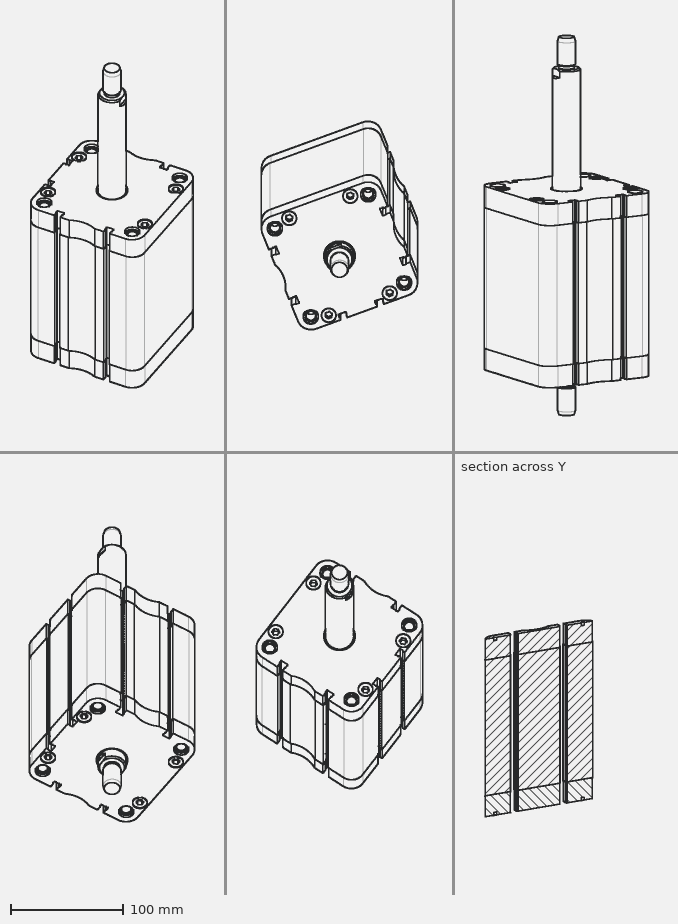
import cadquery as cq
import math


TOTAL_LENGTH = 343.0

HOUSING_SIDE = 113.5
HOUSING_HEIGHT = 167.0
CAP_HEIGHT = 19.5
CAP_CORNER_RADIUS = 12.7
BARREL_CORNER_RADIUS = 12.0
CAP_SCOOP_WIDTH = 25.7
BARREL_SCOOP_WIDTH = 27.0
SCOOP_DEPTH = 3.0

Y_SLOT_OFFSET = 25.0
Y_SLOT_NECK_DEPTH = 4.0
Y_SLOT_DEPTH = 7.2

X_SLOT_OFFSET = 17.5
X_SLOT_NECK_DEPTH = 2.5
X_SLOT_DEPTH = 5.5

CAP_SLOT_MOUTH = 6.2
BARREL_SLOT_MOUTH = 5.0
SLOT_WIDTH = 7.2

MOUNT_OFFSET = 44.5
MOUNT_BORE_DIAMETER = 13.5
MOUNT_BORE_DEPTH = 2.7
MOUNT_THREAD_DIAMETER = 10.0
MOUNT_CORE_DIAMETER = 8.5

SOCKET_X = 49.0
SOCKET_Y = 29.0
SOCKET_RECESS_DIAMETER = 13.0
SOCKET_RECESS_DEPTH = 1.0
SOCKET_ACROSS_FLATS = 6.0
SOCKET_DEPTH = 5.0

ROD_DIAMETER = 25.0
ROD_CHAMFER = 1.5
BUSHING_DIAMETER = 28.0
BUSHING_MOUTH_DIAMETER = 26.8
LOWER_ROD_LENGTH = 38.0
STUD_LENGTH = 28.0
STUD_DIAMETER = 16.0
STUD_TIP_DIAMETER = 14.0
STUD_TIP_CHAMFER_LENGTH = 3.8
RELIEF_DIAMETER = 14.0
RELIEF_LENGTH = 2.5
FLAT_SPACING = 22.0
FLAT_LENGTH = 7.0

BARREL_HEIGHT = HOUSING_HEIGHT - 2 * CAP_HEIGHT
ROD_RADIUS = ROD_DIAMETER / 2
ROD_BOTTOM = -LOWER_ROD_LENGTH
ROD_TOP = ROD_BOTTOM + TOTAL_LENGTH


def scoop_cutter(width, height):
    """Shallow round hollow along the middle of the -Y face."""
    face = -HOUSING_SIDE / 2
    radius = ((width / 2) ** 2 + SCOOP_DEPTH**2) / (2 * SCOOP_DEPTH)
    return cq.Workplane("XY").center(0, face + SCOOP_DEPTH - radius).circle(radius).extrude(height)


def t_slot_cutter(mouth, neck_depth, depth, offset, height):
    """T-slot along Z in the -Y face, at the given X."""
    face = -HOUSING_SIDE / 2
    neck = cq.Workplane("XY").box(mouth, depth, height, centered=(True, False, False))
    foot = (
        cq.Workplane("XY")
        .box(SLOT_WIDTH, depth - neck_depth, height, centered=(True, False, False))
        .translate((0, neck_depth, 0))
    )
    return neck.union(foot).translate((offset, face, 0))


def housing_section(height, corner_radius, scoop_width, slot_mouth):
    """Length of the housing profile, standing on Z = 0."""
    section = cq.Workplane("XY").rect(HOUSING_SIDE, HOUSING_SIDE).extrude(height)
    section = section.edges("|Z").fillet(corner_radius)

    front_cut = scoop_cutter(scoop_width, height)
    for side in (-1, 1):
        front_cut = front_cut.union(
            t_slot_cutter(slot_mouth, Y_SLOT_NECK_DEPTH, Y_SLOT_DEPTH, side * Y_SLOT_OFFSET, height)
        )
        slot = t_slot_cutter(slot_mouth, X_SLOT_NECK_DEPTH, X_SLOT_DEPTH, side * X_SLOT_OFFSET, height)
        section = section.cut(slot.rotate((0, 0, 0), (0, 0, 1), -90))
    return section.cut(front_cut).cut(front_cut.mirror("XZ"))


def mount_hole_cutter():
    """Counterbored hole with a chamfered core, its mouth at Z = 0 and running down through a cap."""
    chamfer = (MOUNT_THREAD_DIAMETER - MOUNT_CORE_DIAMETER) / 2
    profile = [
        (0, 0),
        (MOUNT_BORE_DIAMETER / 2, 0),
        (MOUNT_BORE_DIAMETER / 2, -MOUNT_BORE_DEPTH),
        (MOUNT_THREAD_DIAMETER / 2, -MOUNT_BORE_DEPTH),
        (MOUNT_CORE_DIAMETER / 2, -MOUNT_BORE_DEPTH - chamfer),
        (MOUNT_CORE_DIAMETER / 2, -CAP_HEIGHT),
        (0, -CAP_HEIGHT),
    ]
    return cq.Workplane("XZ").polyline(profile).close().revolve(360, (0, 0, 0), (0, 1, 0))


def socket_cutter():
    """Shallow round recess with a hexagon socket in its floor, two of its corners along Y."""
    corner_diameter = SOCKET_ACROSS_FLATS / math.cos(math.pi / 6)
    recess = cq.Workplane("XY").circle(SOCKET_RECESS_DIAMETER / 2).extrude(-SOCKET_RECESS_DEPTH)
    hexagon = cq.Workplane("XY").polygon(6, corner_diameter).extrude(-SOCKET_RECESS_DEPTH - SOCKET_DEPTH)
    return recess.union(hexagon.rotate((0, 0, 0), (0, 0, 1), 30))


def end_cap():
    """Upper cap, standing on Z = 0 with its outer face up."""
    cap = housing_section(CAP_HEIGHT, CAP_CORNER_RADIUS, CAP_SCOOP_WIDTH, CAP_SLOT_MOUTH)
    cap = cap.cut(cq.Workplane("XY").circle(BUSHING_DIAMETER / 2).extrude(CAP_HEIGHT))
    for x_side in (-1, 1):
        for y_side in (-1, 1):
            mount_place = (x_side * MOUNT_OFFSET, y_side * MOUNT_OFFSET, CAP_HEIGHT)
            socket_place = (x_side * SOCKET_X, y_side * SOCKET_Y, CAP_HEIGHT)
            cap = cap.cut(mount_hole_cutter().translate(mount_place))
            cap = cap.cut(socket_cutter().translate(socket_place))
    return cap


def bushing():
    """Upper bushing: a ring around the rod, standing on Z = 0, with a chamfered bore mouth on top."""
    chamfer = (BUSHING_MOUTH_DIAMETER - ROD_DIAMETER) / 2
    profile = [
        (ROD_RADIUS, 0),
        (BUSHING_DIAMETER / 2, 0),
        (BUSHING_DIAMETER / 2, CAP_HEIGHT),
        (BUSHING_MOUTH_DIAMETER / 2, CAP_HEIGHT),
        (ROD_RADIUS, CAP_HEIGHT - chamfer),
    ]
    return cq.Workplane("XZ").polyline(profile).close().revolve(360, (0, 0, 0), (0, 1, 0))


def barrel():
    """Middle length of the housing, standing on Z = 0, with a hole for the rod."""
    body = housing_section(BARREL_HEIGHT, BARREL_CORNER_RADIUS, BARREL_SCOOP_WIDTH, BARREL_SLOT_MOUTH)
    return body.cut(cq.Workplane("XY").circle(ROD_RADIUS).extrude(BARREL_HEIGHT))


def upper_rod_half():
    """Half of the rod, from its middle at Z = 0 up to the tip of its stud."""
    tip = TOTAL_LENGTH / 2
    shoulder = tip - STUD_LENGTH
    relief_top = shoulder + RELIEF_LENGTH
    stud_chamfer = (STUD_DIAMETER - RELIEF_DIAMETER) / 2
    profile = [
        (0, 0),
        (ROD_RADIUS, 0),
        (ROD_RADIUS, shoulder - ROD_CHAMFER),
        (ROD_RADIUS - ROD_CHAMFER, shoulder),
        (RELIEF_DIAMETER / 2, shoulder),
        (RELIEF_DIAMETER / 2, relief_top),
        (STUD_DIAMETER / 2, relief_top + stud_chamfer),
        (STUD_DIAMETER / 2, tip - STUD_TIP_CHAMFER_LENGTH),
        (STUD_TIP_DIAMETER / 2, tip),
        (0, tip),
    ]
    half = cq.Workplane("XZ").polyline(profile).close().revolve(360, (0, 0, 0), (0, 1, 0))

    flat_bottom = shoulder - FLAT_LENGTH
    runout = ROD_RADIUS - FLAT_SPACING / 2
    flat_outline = [
        (FLAT_SPACING / 2, shoulder),
        (FLAT_SPACING / 2, flat_bottom),
        (ROD_RADIUS, flat_bottom - runout),
        (ROD_RADIUS, shoulder),
    ]
    flat = cq.Workplane("XZ").polyline(flat_outline).close().extrude(ROD_RADIUS, both=True)
    return half.cut(flat).cut(flat.mirror("YZ"))


def rod():
    """One-piece rod with two equal ends, centred on Z = 0."""
    half = upper_rod_half()
    return half.union(half.mirror("XY"))


def place_on_top(part):
    """Part that stands on the barrel's upper end."""
    return part.translate((0, 0, HOUSING_HEIGHT - CAP_HEIGHT))


def place_on_bottom(part):
    """The same part turned to face down, under the barrel's lower end."""
    return part.mirror("XY").translate((0, 0, CAP_HEIGHT))


housing_barrel = barrel().translate((0, 0, CAP_HEIGHT))
through_rod = rod().translate((0, 0, (ROD_BOTTOM + ROD_TOP) / 2))
end_caps = []
bushings = []
for place in (place_on_top, place_on_bottom):
    end_caps.append(place(end_cap()).val())
    bushings.append(place(bushing()).val())

result = cq.Compound.makeCompound([housing_barrel.val(), through_rod.val(), *end_caps, *bushings])